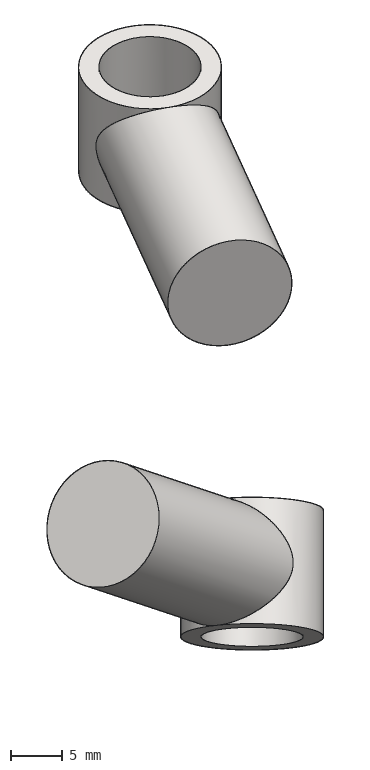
import cadquery as cq

eye_diameter = 14.0
bore_diameter = 10.0
eye_height = 12.6

shank_diameter = eye_height
overall_length = 37.0
shank_end = overall_length - eye_diameter / 2


def upright_cylinder(diameter):
    """Cylinder on the Z axis, as high as the eye and centred at Z = 0."""
    base = cq.Workplane("XY").workplane(offset=-eye_height / 2)
    return base.circle(diameter / 2).extrude(eye_height)


def shank():
    """Solid round bar from the eye axis to the free end."""
    return cq.Workplane("YZ").circle(shank_diameter / 2).extrude(shank_end)


result = upright_cylinder(eye_diameter).union(shank()).cut(upright_cylinder(bore_diameter))